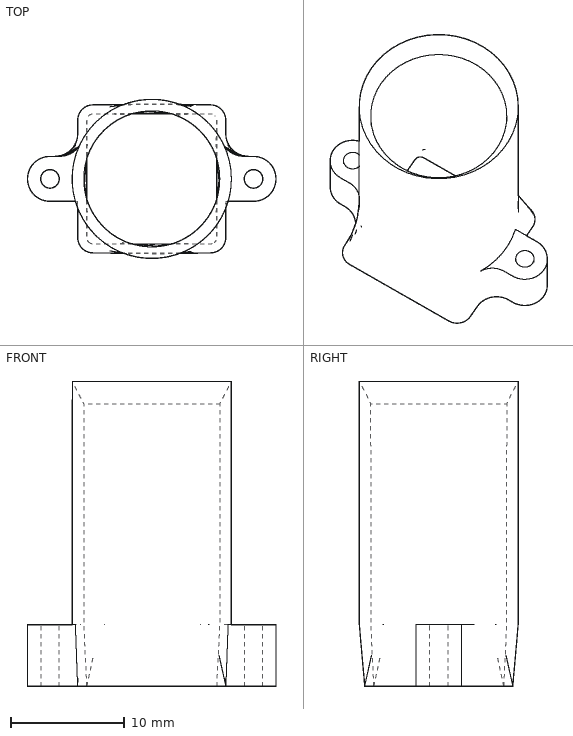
import cadquery as cq
import math

height = 27.0
tube_radius = 7.05
bore_radius = 6.02
mouth_depth = 2.0

base_height = 5.48
base_half = 6.55
base_corner = 1.38
base_wall = 0.8
corner_half_angle = 1.0

ear_center = 9.005
ear_radius = 2.0
ear_hole_radius = 0.8
ear_blend = 2.0
ear_root = 5.4


def rounded_square(half, corner):
    """Rounded square starting at the lower end of its +X side."""
    flat = half - corner
    mid = flat + corner * math.sqrt(0.5)
    return (
        cq.Workplane("XY").moveTo(half, -flat)
        .lineTo(half, flat)
        .threePointArc((mid, mid), (flat, half))
        .lineTo(-flat, half)
        .threePointArc((-mid, mid), (-half, flat))
        .lineTo(-half, -flat)
        .threePointArc((-mid, -mid), (-flat, -half))
        .lineTo(flat, -half)
        .threePointArc((mid, -mid), (half, -flat))
        .close().wire().val()
    )


def split_circle(radius, z):
    """Circle cut into four long side arcs and four short corner arcs."""
    def point(degrees):
        angle = math.radians(degrees)
        return radius * math.cos(angle), radius * math.sin(angle)

    outline = cq.Workplane("XY", origin=(0, 0, z)).moveTo(*point(-45 + corner_half_angle))
    for middle in (0, 90, 180, 270):
        outline = outline.threePointArc(point(middle), point(middle + 45 - corner_half_angle))
        outline = outline.threePointArc(point(middle + 45), point(middle + 45 + corner_half_angle))
    return outline.close().wire().val()


def square_to_round(half, corner, radius):
    wires = [rounded_square(half, corner), split_circle(radius, base_height)]
    return cq.Workplane(cq.Solid.makeLoft(wires, True))


def ear(side):
    """Ear with one round end, on the +X (side 1) or -X (side -1) face."""
    return (
        cq.Workplane("XY").moveTo(side * ear_root, -ear_radius)
        .lineTo(side * ear_center, -ear_radius)
        .threePointArc((side * (ear_center + ear_radius), 0), (side * ear_center, ear_radius))
        .lineTo(side * ear_root, ear_radius)
        .close().extrude(base_height)
    )


body = square_to_round(base_half, base_corner, tube_radius)
body = body.union(ear(1)).union(ear(-1))
for side in (1, -1):
    probe = (side * base_half, ear_radius, base_height / 2)
    body = body.edges(cq.selectors.NearestToPointSelector(probe)).fillet(ear_blend)

tube = cq.Workplane("XY", origin=(0, 0, base_height)).circle(tube_radius).extrude(height - base_height)
body = body.union(tube)

passage = square_to_round(base_half - base_wall, base_corner - base_wall, bore_radius)
bore = cq.Workplane("XY", origin=(0, 0, base_height)).circle(bore_radius).extrude(height - base_height)
mouth = cq.Workplane(
    cq.Solid.makeCone(bore_radius, tube_radius, mouth_depth, pnt=cq.Vector(0, 0, height - mouth_depth))
)
holes = (
    cq.Workplane("XY").pushPoints([(-ear_center, 0), (ear_center, 0)])
    .circle(ear_hole_radius).extrude(base_height)
)

result = body.cut(passage).cut(bore).cut(mouth).cut(holes)